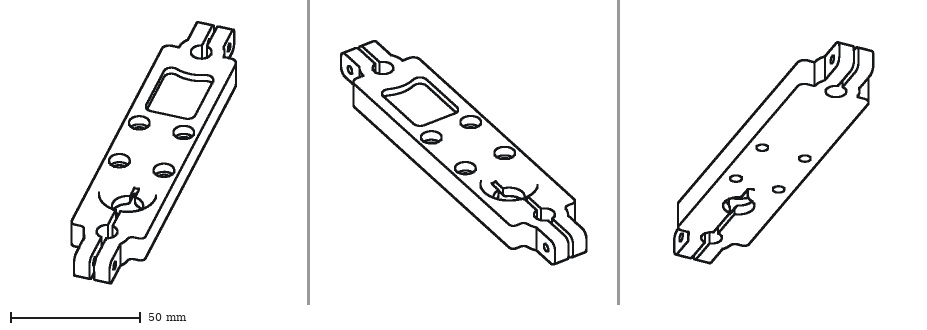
import cadquery as cq
import math

length = 151.0
width = 30.0
thickness = 11.0
half_length = length / 2

shoulder_y = 57.0
tongue_width = 14.5
tongue_end_radius = 3.0
collar_radius = 9.0
relief_hole_diameter = 8.0
slit_width = 2.0
pin_hole_diameter = 3.2
pin_hole_inset = 6.3

back_corner_radius = 3.0
front_corner_radius = 2.0
inside_corner_radius = 2.0

pocket_width = 20.0
pocket_depth = 3.0
pocket_front_y = 17.0
pocket_corner_radius = 3.0
pocket_bulge_radius = 13.9

screw_spacing_x = 18.1
screw_spacing_y = 24.0
screw_middle_y = -3.0
screw_hole_diameter = 4.5
screw_head_diameter = 8.0
screw_head_depth = 4.1

seat_y = -32.0
seat_radius = 11.0
seat_depth = 7.0
seat_rim_radius = 1.0
seat_floor_radius = 1.0
bore_diameter = 12.1
floor_z = thickness - seat_depth

slit_bite = 0.3
slit_roof_z = floor_z + slit_bite
back_slit_reach = 11.8
back_slit_corner_radius = 0.8
back_slit_edge_radius = 1.5
front_slit_flare = 1.0
front_slit_flare_depth = 1.4
select_margin = 0.2


def cylinder(x, y, z, diameter, height):
    return cq.Workplane("XY", origin=(x, y, z)).circle(diameter / 2).extrude(height)


def block(x_size, y_min, y_max, z_min, z_max):
    """Box centred on X that spans the given Y and Z limits."""
    base = cq.Workplane("XY", origin=(0, y_min, z_min))
    return base.box(x_size, y_max - y_min, z_max - z_min, centered=(True, False, False))


def make_plate():
    """Plate with a round-rooted tongue at each end."""
    body = block(width, -shoulder_y, shoulder_y, 0, thickness)
    body = body.edges("|Z and >Y").fillet(back_corner_radius)
    body = body.edges("|Z and <Y").fillet(front_corner_radius)
    tongues = block(tongue_width, -half_length, half_length, 0, thickness)
    tongues = tongues.edges("|X").fillet(tongue_end_radius)
    plate = body.union(tongues)
    for end in (-1, 1):
        plate = plate.union(cylinder(0, end * shoulder_y, 0, 2 * collar_radius, thickness))
    for side in (-1, 1):
        corner = cq.selectors.NearestToPointSelector((side * collar_radius, -shoulder_y, thickness / 2))
        plate = plate.edges("|Z").edges(corner).fillet(inside_corner_radius)
    return plate


def make_pocket():
    """Rounded rectangle whose back wall bulges inward around the back relief hole."""
    half_width = pocket_width / 2
    r = pocket_corner_radius
    corner_x = half_width - r
    centre_distance = pocket_bulge_radius + r
    corner_y = shoulder_y - math.sqrt(centre_distance**2 - corner_x**2)
    touch_x = corner_x * pocket_bulge_radius / centre_distance
    touch_y = shoulder_y - (shoulder_y - corner_y) * pocket_bulge_radius / centre_distance
    outline = (
        cq.Workplane("XY", origin=(0, 0, thickness - pocket_depth))
        .moveTo(-corner_x, pocket_front_y)
        .lineTo(corner_x, pocket_front_y)
        .radiusArc((half_width, pocket_front_y + r), -r)
        .lineTo(half_width, corner_y)
        .threePointArc((corner_x, corner_y + r), (touch_x, touch_y))
        .threePointArc((0, shoulder_y - pocket_bulge_radius), (-touch_x, touch_y))
        .threePointArc((-corner_x, corner_y + r), (-half_width, corner_y))
        .lineTo(-half_width, pocket_front_y + r)
        .radiusArc((-corner_x, pocket_front_y), -r)
        .close()
    )
    return outline.extrude(pocket_depth)


def make_screw_holes():
    points = cq.Workplane("XY").center(0, screw_middle_y).rarray(screw_spacing_x, screw_spacing_y, 2, 2)
    shanks = points.circle(screw_hole_diameter / 2).extrude(thickness)
    heads = points.circle(screw_head_diameter / 2).extrude(screw_head_depth)
    return shanks.union(heads.translate((0, 0, thickness - screw_head_depth)))


def make_pin_hole(end):
    y = end * (half_length - pin_hole_inset)
    pin = cq.Workplane("YZ", origin=(-width / 2, y, thickness / 2))
    return pin.circle(pin_hole_diameter / 2).extrude(width)


def make_seat():
    """Round recess with a flared rounded rim and a rounded floor corner, turned about its axis."""
    rim_top = seat_radius + seat_rim_radius
    profile = (
        cq.Workplane("XZ", origin=(0, seat_y, 0))
        .moveTo(0, floor_z)
        .lineTo(seat_radius - seat_floor_radius, floor_z)
        .radiusArc((seat_radius, floor_z + seat_floor_radius), -seat_floor_radius)
        .lineTo(seat_radius, thickness - seat_rim_radius)
        .radiusArc((rim_top, thickness), seat_rim_radius)
        .lineTo(0, thickness)
        .close()
    )
    return profile.revolve(360, (0, 0, 0), (0, 1, 0))


def cut_back_slit(plate):
    """Blind slit through the seat floor, with its lower edge rounded."""
    end_y = seat_y + back_slit_reach
    slit = block(slit_width, seat_y, end_y, 0, slit_roof_z)
    slit = slit.edges("|Z and >Y").fillet(back_slit_corner_radius)
    bore_back_y = seat_y + bore_diameter / 2
    slit_edges = cq.selectors.BoxSelector(
        (-slit_width, bore_back_y, -select_margin),
        (slit_width, end_y + select_margin, select_margin),
    )
    return plate.cut(slit).edges(slit_edges).fillet(back_slit_edge_radius)


def make_front_flare():
    """Groove with sloping sides that widens the front slit at the seat floor."""
    half_slit = slit_width / 2
    half_groove = half_slit + front_slit_flare
    profile = [
        (-half_slit, floor_z - front_slit_flare_depth),
        (half_slit, floor_z - front_slit_flare_depth),
        (half_groove, floor_z),
        (half_groove, slit_roof_z),
        (-half_groove, slit_roof_z),
        (-half_groove, floor_z),
    ]
    return cq.Workplane("XZ", origin=(0, seat_y, 0)).polyline(profile).close().extrude(seat_radius)


plate = make_plate()
plate = plate.cut(make_pocket())
plate = plate.cut(make_screw_holes())
plate = plate.cut(make_seat())
plate = plate.cut(cylinder(0, seat_y, 0, bore_diameter, thickness))

for end in (-1, 1):
    plate = plate.cut(cylinder(0, end * shoulder_y, 0, relief_hole_diameter, thickness))
    plate = plate.cut(make_pin_hole(end))
plate = plate.cut(block(slit_width, shoulder_y, half_length, 0, thickness))
plate = plate.cut(block(slit_width, -half_length, seat_y, 0, thickness))

plate = plate.cut(make_front_flare())
plate = cut_back_slit(plate)

result = plate